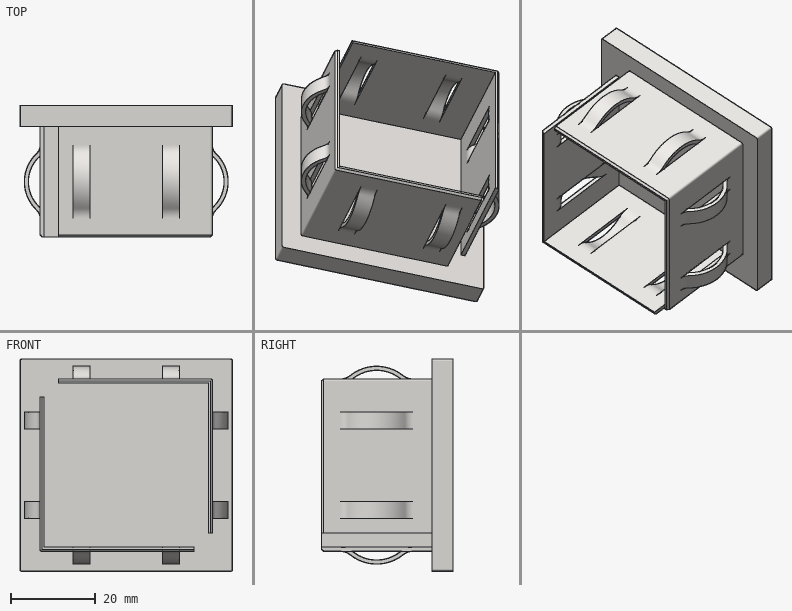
import math

import cadquery as cq

PLATE_SIZE = 50.0
PLATE_THICKNESS = 5.0
PLATE_CORNER_RADIUS = 0.5

WALL_DEPTH = 26.0
WALL_OUTER = 40.6
WALL_THICKNESS = 1.0
WALL_EDGE_CHAMFER = 0.5
WALL_CORNER_RADIUS = 0.51
OPEN_CORNER_EDGE = 16.0

STRAP_WIDTH = 4.0
STRAP_HALF_LENGTH = 8.5
STRAP_OFFSET = 10.5
STRAP_CENTER_DEPTH = WALL_DEPTH / 2
SIDE_STRAP_RISE = 3.7
SIDE_STRAP_ROOT_RADIUS = 2.5
LEVEL_STRAP_RISE = 3.0
LEVEL_STRAP_ROOT_RADIUS = 3.6

wall_half = WALL_OUTER / 2


def square_block(size, y_start, y_end):
    """Square block centred on the Y axis between two Y positions."""
    block = cq.Workplane("XY").box(size, y_end - y_start, size)
    return block.translate((0, (y_start + y_end) / 2, 0))


def make_plate():
    return square_block(PLATE_SIZE, 0, PLATE_THICKNESS).edges("|Y").fillet(PLATE_CORNER_RADIUS)


def make_walls():
    """Square tube opened at two opposite corners, leaving two L-shaped wall pairs."""
    tube = square_block(WALL_OUTER, -WALL_DEPTH, 0).edges("|Y").fillet(WALL_CORNER_RADIUS)
    tube = tube.faces("<Y").edges().chamfer(WALL_EDGE_CHAMFER)
    tube = tube.cut(square_block(WALL_OUTER - 2 * WALL_THICKNESS, -WALL_DEPTH, 0))
    notch_size = wall_half - OPEN_CORNER_EDGE
    notch_center = OPEN_CORNER_EDGE + notch_size / 2
    for side in (-1, 1):
        notch = cq.Workplane("XY").box(notch_size, WALL_DEPTH, notch_size)
        tube = tube.cut(notch.translate((side * notch_center, -WALL_DEPTH / 2, -side * notch_center)))
    return tube


def make_strap(rise, root_radius):
    """Arched strap above the +X wall: two concave roots blended into one crown arc."""
    center_distance = (STRAP_HALF_LENGTH**2 + rise**2) / (2 * rise)
    crown_radius = center_distance - root_radius
    crown_center = wall_half + rise - crown_radius
    root_center = wall_half + root_radius
    blend_angle = math.asin(STRAP_HALF_LENGTH / center_distance)

    def crown_point(radius, angle):
        return (crown_center + radius * math.cos(angle), radius * math.sin(angle))

    def root_point(radius, angle, side):
        return (
            root_center - radius * math.cos(angle),
            side * (STRAP_HALF_LENGTH - radius * math.sin(angle)),
        )

    inner_crown = crown_radius - WALL_THICKNESS
    inner_root = root_radius + WALL_THICKNESS
    middle_angle = blend_angle / 2
    profile = (
        cq.Workplane("XY")
        .moveTo(*root_point(root_radius, 0, -1))
        .threePointArc(root_point(root_radius, middle_angle, -1), root_point(root_radius, blend_angle, -1))
        .threePointArc(crown_point(crown_radius, 0), crown_point(crown_radius, blend_angle))
        .threePointArc(root_point(root_radius, middle_angle, 1), root_point(root_radius, 0, 1))
        .lineTo(*root_point(inner_root, 0, 1))
        .threePointArc(root_point(inner_root, middle_angle, 1), root_point(inner_root, blend_angle, 1))
        .threePointArc(crown_point(inner_crown, 0), crown_point(inner_crown, -blend_angle))
        .threePointArc(root_point(inner_root, middle_angle, -1), root_point(inner_root, 0, -1))
        .close()
    )
    return profile.extrude(STRAP_WIDTH / 2, both=True)


def make_window():
    """Opening in the +X wall from which a strap is bent out."""
    window = cq.Workplane("XY").box(WALL_THICKNESS, 2 * STRAP_HALF_LENGTH, STRAP_WIDTH)
    return window.translate((wall_half - WALL_THICKNESS / 2, 0, 0))


def place_on_wall(body, offset, angle):
    """Move a body from the middle of the +X wall to its place on the wall turned by angle."""
    moved = body.translate((0, -STRAP_CENTER_DEPTH, offset))
    return moved.rotate((0, 0, 0), (0, 1, 0), angle)


def add_straps(body, rise, root_radius, wall_angles):
    for angle in wall_angles:
        for offset in (-STRAP_OFFSET, STRAP_OFFSET):
            body = body.cut(place_on_wall(make_window(), offset, angle))
            body = body.union(place_on_wall(make_strap(rise, root_radius), offset, angle))
    return body


walls = make_walls()
walls = add_straps(walls, SIDE_STRAP_RISE, SIDE_STRAP_ROOT_RADIUS, (0, 180))
walls = add_straps(walls, LEVEL_STRAP_RISE, LEVEL_STRAP_ROOT_RADIUS, (90, 270))
result = make_plate().union(walls)